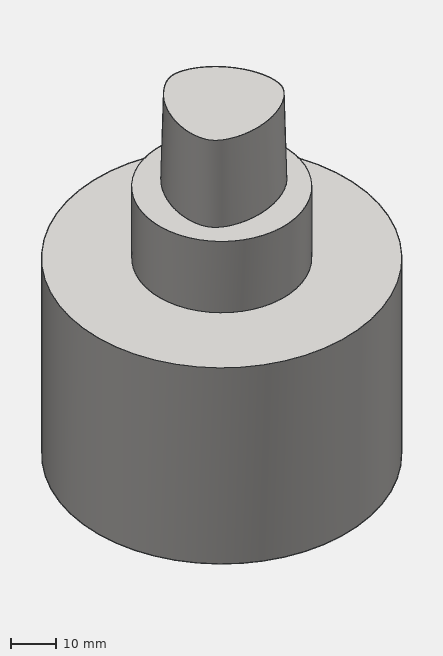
import cadquery as cq
import math

total_height = 99.0
body_diameter = 80.0
collar_diameter = body_diameter / 2
body_height = 55.0
collar_height = 20.0
shank_height = total_height - body_height - collar_height

shank_base_width = 28.0
shank_taper = 1 / 20
shank_tip_width = shank_base_width - shank_taper * shank_height
lobe_eccentricity = 1.0
lobe_count = 3
profile_points = 60


def lobed_point(width, angle):
    """Point whose outward normal is at angle; one lobe points toward +Y."""
    phase = lobe_count * (angle - math.pi / 2)
    reach = width / 2 + lobe_eccentricity * math.cos(phase)
    slide = -lobe_count * lobe_eccentricity * math.sin(phase)
    x = reach * math.cos(angle) - slide * math.sin(angle)
    y = reach * math.sin(angle) + slide * math.cos(angle)
    return x, y


def lobed_profile(workplane, width):
    """Closed smooth outline around the part axis."""
    points = [
        lobed_point(width, 2 * math.pi * i / profile_points)
        for i in range(profile_points)
    ]
    return workplane.spline(points, periodic=True).close()


def make_shank():
    """Loft between the base and tip outlines."""
    base = lobed_profile(cq.Workplane("XY"), shank_base_width)
    tip = lobed_profile(base.workplane(offset=shank_height), shank_tip_width)
    return tip.loft(ruled=True, combine=True)


body = cq.Workplane("XY").circle(body_diameter / 2).extrude(body_height)
collar = cq.Workplane("XY").circle(collar_diameter / 2).extrude(collar_height)

shank_bottom = body_height + collar_height
result = (
    body
    .union(collar.translate((0, 0, body_height)))
    .union(make_shank().translate((0, 0, shank_bottom)))
)